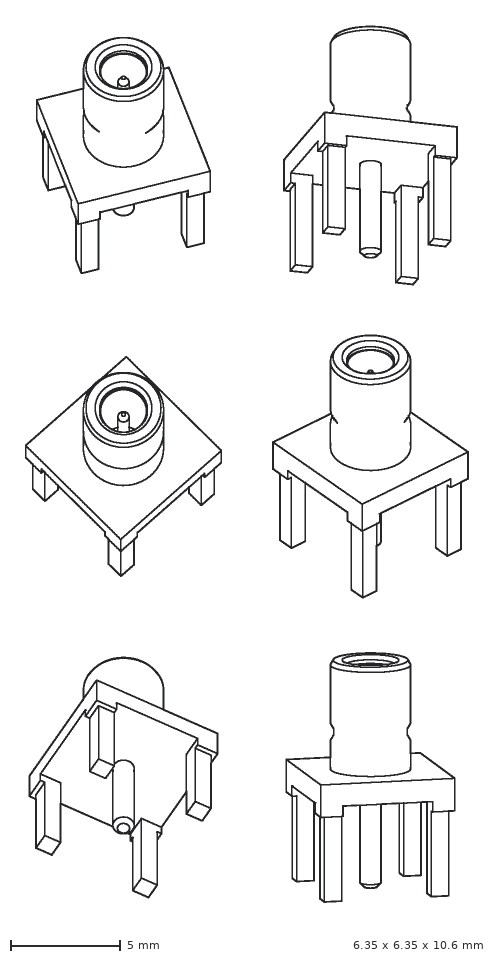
import cadquery as cq


plate_width = 6.35
plate_bottom = 0.48
plate_top = 1.52
leg_inner_face = 2.12
leg_width = 0.83
leg_length = 4.0

barrel_top = 6.6
barrel_radius = 1.84
rim_chamfer_radial = 0.12
rim_chamfer_height = 0.22

groove_radius = 1.695
groove_top = 3.66
groove_bottom = 2.845
groove_flank_height = 0.24
upper_shoulder_fillet = 0.06
root_fillet = 0.06
lower_shoulder_fillet = 0.12

edge_search_margin = 0.01

bore_radius = 1.05
bore_floor = plate_top
entry_radius = 1.1
entry_depth = 0.37
entry_chamfer = 0.2

contact_radius = 0.255
contact_tip_radius = 0.09
contact_tip_height = 0.3
contact_top = 5.8

tail_radius = 0.49
tail_tip_radius = 0.28
tail_tip_height = 0.21


def box_between(x_range, y_range, z_range):
    """Box spanning the given (low, high) limits on each axis."""
    size = [high - low for low, high in (x_range, y_range, z_range)]
    corner = (x_range[0], y_range[0], z_range[0])
    return cq.Workplane("XY").box(*size, centered=False).translate(corner)


def revolved(profile):
    """Solid of revolution about Z from a closed (radius, z) outline."""
    outline = cq.Workplane("XZ").polyline(profile).close()
    return outline.revolve(360, (0, 0, 0), (0, 1, 0))


def mirrored_range(low, high, side):
    """Limits of a span on the positive (+1) or negative (-1) side of the axis."""
    return tuple(sorted((side * low, side * high)))


def make_base():
    half_width = plate_width / 2
    full = (-half_width, half_width)
    leg_outer_face = leg_inner_face + leg_width
    base = box_between(full, full, (plate_bottom, plate_top))
    for x_side in (-1, 1):
        for y_side in (-1, 1):
            pad_x = mirrored_range(leg_inner_face, half_width, x_side)
            pad_y = mirrored_range(leg_inner_face, half_width, y_side)
            base = base.union(box_between(pad_x, pad_y, (0, plate_top)))
            leg_x = mirrored_range(leg_inner_face, leg_outer_face, x_side)
            leg_y = mirrored_range(leg_inner_face, leg_outer_face, y_side)
            base = base.union(box_between(leg_x, leg_y, (-leg_length, plate_top)))
    return base


def edges_at_height(z):
    """Selector for the circular edges lying at height z."""
    reach = 2 * barrel_radius
    low_corner = (-reach, -reach, z - edge_search_margin)
    high_corner = (reach, reach, z + edge_search_margin)
    return cq.selectors.BoxSelector(low_corner, high_corner, boundingbox=True)


def make_barrel():
    root_top = groove_top - groove_flank_height
    root_bottom = groove_bottom + groove_flank_height
    barrel = revolved([
        (0, plate_bottom),
        (barrel_radius, plate_bottom),
        (barrel_radius, groove_bottom),
        (groove_radius, root_bottom),
        (groove_radius, root_top),
        (barrel_radius, groove_top),
        (barrel_radius, barrel_top - rim_chamfer_height),
        (barrel_radius - rim_chamfer_radial, barrel_top),
        (0, barrel_top),
    ])
    groove_fillets = (
        (groove_top, upper_shoulder_fillet),
        (root_top, root_fillet),
        (root_bottom, root_fillet),
        (groove_bottom, lower_shoulder_fillet),
    )
    for height, radius in groove_fillets:
        barrel = barrel.edges(edges_at_height(height)).fillet(radius)
    return barrel


def make_bore():
    step_height = barrel_top - entry_depth
    return revolved([
        (0, bore_floor),
        (bore_radius, bore_floor),
        (bore_radius, step_height),
        (entry_radius, step_height),
        (entry_radius, barrel_top - entry_chamfer),
        (entry_radius + entry_chamfer, barrel_top),
        (0, barrel_top),
    ])


def make_contact():
    return revolved([
        (0, plate_bottom),
        (contact_radius, plate_bottom),
        (contact_radius, contact_top - contact_tip_height),
        (contact_tip_radius, contact_top),
        (0, contact_top),
    ])


def make_tail():
    return revolved([
        (0, -leg_length),
        (tail_tip_radius, -leg_length),
        (tail_radius, -leg_length + tail_tip_height),
        (tail_radius, plate_top),
        (0, plate_top),
    ])


shell = make_base().union(make_barrel()).cut(make_bore())
result = shell.union(make_contact()).union(make_tail())